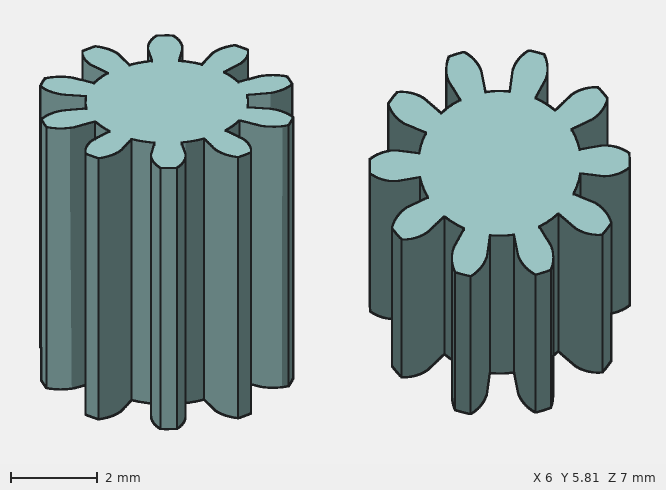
import cadquery as cq
import math

face_width = 7.0
tooth_count = 10
outer_diameter = 6.0
dedendum_factor = 1.25
flank_radius = 0.9
flank_start_radius = 2.43
root_half_angle = math.radians(9.5)
tip_half_angle = math.radians(3.55)

module = outer_diameter / (tooth_count + 2)
pitch_radius = module * tooth_count / 2
tip_radius = outer_diameter / 2
root_radius = pitch_radius - dedendum_factor * module
tooth_pitch = 2 * math.pi / tooth_count


def polar(radius, angle):
    return radius * math.cos(angle), radius * math.sin(angle)


def add_tooth(outline, center):
    """Draw one tooth anticlockwise, then the root arc up to the next tooth."""
    next_root = center + tooth_pitch - root_half_angle
    return (
        outline
        .lineTo(*polar(flank_start_radius, center - root_half_angle))
        .radiusArc(polar(tip_radius, center - tip_half_angle), -flank_radius)
        .threePointArc(polar(tip_radius, center), polar(tip_radius, center + tip_half_angle))
        .radiusArc(polar(flank_start_radius, center + root_half_angle), -flank_radius)
        .lineTo(*polar(root_radius, center + root_half_angle))
        .threePointArc(polar(root_radius, center + tooth_pitch / 2), polar(root_radius, next_root))
    )


outline = cq.Workplane("XY").moveTo(*polar(root_radius, -root_half_angle))
for tooth in range(tooth_count):
    outline = add_tooth(outline, tooth * tooth_pitch)

result = outline.close().extrude(face_width)